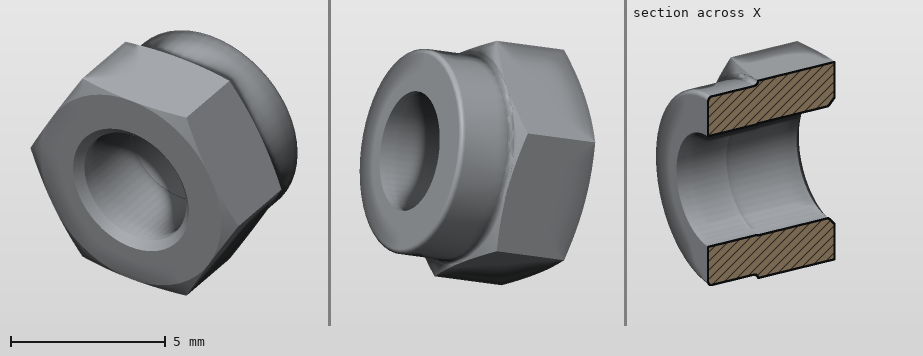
import cadquery as cq
import math

corner_width = 8.08
flat_width = corner_width * math.cos(math.radians(30))
total_length = 4.8
hex_length = 2.91
chamfer_angle = 20.0

collar_diameter = 6.7
collar_edge_radius = 0.15
root_fillet_radius = 0.145

bore_diameter = 3.95
mouth_diameter = 4.5
mouth_depth = 0.25
lock_diameter = 3.9
lock_start = hex_length


def revolve_about_axis(profile):
    """Revolve a (radius, Y) profile about the nut axis."""
    return profile.close().revolve(360, (0, 0, 0), (0, 1, 0))


def make_hex():
    """Hexagonal body whose corners are trimmed by a cone at each end."""
    prism = cq.Workplane("XZ").polygon(6, corner_width).extrude(-hex_length)
    corner_radius = corner_width / 2
    flat_radius = flat_width / 2
    drop = (corner_radius - flat_radius) * math.tan(math.radians(chamfer_angle))
    envelope = revolve_about_axis(
        cq.Workplane("XY")
        .moveTo(0, 0)
        .lineTo(flat_radius, 0)
        .lineTo(corner_radius, drop)
        .lineTo(corner_radius, hex_length - drop)
        .lineTo(flat_radius, hex_length)
        .lineTo(0, hex_length)
    )
    return prism.intersect(envelope)


def make_collar():
    """Round collar with a concave root fillet and a rounded outer edge."""
    radius = collar_diameter / 2
    return revolve_about_axis(
        cq.Workplane("XY")
        .moveTo(0, hex_length)
        .lineTo(radius + root_fillet_radius, hex_length)
        .radiusArc((radius, hex_length + root_fillet_radius), root_fillet_radius)
        .lineTo(radius, total_length - collar_edge_radius)
        .radiusArc((radius - collar_edge_radius, total_length), -collar_edge_radius)
        .lineTo(0, total_length)
    )


def make_bore():
    """Through bore with a conical mouth and a tighter locking section."""
    return revolve_about_axis(
        cq.Workplane("XY")
        .moveTo(0, 0)
        .lineTo(mouth_diameter / 2, 0)
        .lineTo(bore_diameter / 2, mouth_depth)
        .lineTo(bore_diameter / 2, lock_start)
        .lineTo(lock_diameter / 2, lock_start)
        .lineTo(lock_diameter / 2, total_length)
        .lineTo(0, total_length)
    )


result = make_hex().union(make_collar()).cut(make_bore())